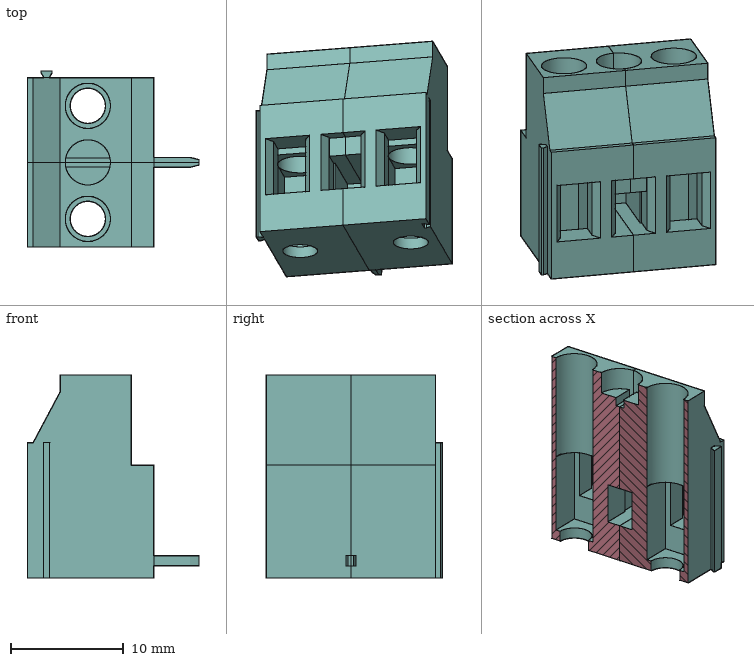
import cadquery as cq


POLE_PITCH = 5.0
OUTER_POLES_Y = (-POLE_PITCH, POLE_PITCH)
POLE_COUNT = 1 + len(OUTER_POLES_Y)

HOUSING_WIDTH = POLE_COUNT * POLE_PITCH
HOUSING_DEPTH = 11.2
HOUSING_HEIGHT = 18.0
ENTRY_FACE_HEIGHT = 12.0
LEDGE_DEPTH = 0.5
SLOPE_TOP_X = 2.9
SLOPE_TOP_Z = 16.5
TOP_BACK_X = 9.2
BACK_STEP_Z = 10.0

DOVETAIL_X = 1.7
DOVETAIL_NECK_WIDTH = 0.5
DOVETAIL_HEAD_WIDTH = 1.0
DOVETAIL_LENGTH = 0.6
DOVETAIL_HEAD_FLAT = 0.16

SHAFT_X = 5.35
SHAFT_DIAMETER = 4.0
BOTTOM_HOLE_DIAMETER = 3.1

MOUTH_WIDTH = 4.0
MOUTH_DEPTH = 0.86
CHANNEL_WIDTH = 2.9
CHANNEL_FLOOR_Z = 3.47
CHANNEL_TOP_Z = 8.8

CHAMBER_FRONT_X = 2.65
CHAMBER_BACK_X = 2 * SHAFT_X - CHAMBER_FRONT_X
CHAMBER_WIDTH = SHAFT_DIAMETER
CHAMBER_FLOOR_Z = 1.0
CHAMBER_TOP_Z = 8.23

GUARD_FRONT_X = 1.1
GUARD_BOTTOM_Z = 7.1
CLAMP_FRONT_X = 2.85
CLAMP_OPENING_WIDTH = 2.61

SCREW_RECESS = 2.0
SLOT_WIDTH = 0.8
SLOT_DEPTH = SLOT_WIDTH

PIN_WIDTH = 0.9
PIN_BOTTOM_Z = 1.1
PIN_LENGTH = 4.0
PIN_TIP_LENGTH = 0.8
PIN_TIP_WIDTH = 0.49


def box_between(x_range, y_range, z_range):
    size = [end - start for start, end in (x_range, y_range, z_range)]
    corner = (x_range[0], y_range[0], z_range[0])
    return cq.Workplane("XY").box(*size, centered=False).translate(corner)


def centred_box(x_range, width, z_range, y=0.0):
    """Box of the given Y width, centred on y."""
    return box_between(x_range, (y - width / 2, y + width / 2), z_range)


def shaft_cylinder(diameter, bottom_z, top_z, y=0.0):
    """Vertical cylinder on the screw axis of the pole at y."""
    base = cq.Workplane("XY", origin=(SHAFT_X, y, bottom_z))
    return base.circle(diameter / 2).extrude(top_z - bottom_z)


def housing_block():
    profile = [
        (0, 0),
        (0, ENTRY_FACE_HEIGHT),
        (LEDGE_DEPTH, ENTRY_FACE_HEIGHT),
        (SLOPE_TOP_X, SLOPE_TOP_Z),
        (SLOPE_TOP_X, HOUSING_HEIGHT),
        (TOP_BACK_X, HOUSING_HEIGHT),
        (TOP_BACK_X, BACK_STEP_Z),
        (HOUSING_DEPTH, BACK_STEP_Z),
        (HOUSING_DEPTH, 0),
    ]
    return cq.Workplane("XZ").polyline(profile).close().extrude(HOUSING_WIDTH / 2, both=True)


def dovetail_bar(neck_y):
    """Upright bar that widens toward +Y from its neck at neck_y."""
    neck = DOVETAIL_NECK_WIDTH / 2
    head = DOVETAIL_HEAD_WIDTH / 2
    flat_start = DOVETAIL_LENGTH - DOVETAIL_HEAD_FLAT
    outline = [
        (-neck, 0),
        (-head, flat_start),
        (-head, DOVETAIL_LENGTH),
        (head, DOVETAIL_LENGTH),
        (head, flat_start),
        (neck, 0),
    ]
    base = cq.Workplane("XY", origin=(DOVETAIL_X, neck_y, 0))
    return base.polyline(outline).close().extrude(ENTRY_FACE_HEIGHT)


def wire_channel(end_x, y=0.0):
    """Space of a wire channel from the entry face to end_x."""
    mouth = MOUTH_WIDTH / 2
    passage = CHANNEL_WIDTH / 2
    outline = [
        (0, -mouth),
        (MOUTH_DEPTH, -passage),
        (end_x, -passage),
        (end_x, passage),
        (MOUTH_DEPTH, passage),
        (0, mouth),
    ]
    base = cq.Workplane("XY", origin=(0, y, CHANNEL_FLOOR_Z))
    return base.polyline(outline).close().extrude(CHANNEL_TOP_Z - CHANNEL_FLOOR_Z)


def outer_pole_cavity(y):
    """Open space of an empty pole: channel, clamp chamber, shaft and bottom hole."""
    chamber_x = (CHAMBER_FRONT_X, CHAMBER_BACK_X)
    chamber = centred_box(chamber_x, CHAMBER_WIDTH, (CHAMBER_FLOOR_Z, CHAMBER_TOP_Z), y)
    shaft = shaft_cylinder(SHAFT_DIAMETER, CHAMBER_TOP_Z, HOUSING_HEIGHT, y)
    bottom_hole = shaft_cylinder(BOTTOM_HOLE_DIAMETER, 0, CHAMBER_FLOOR_Z, y)
    return wire_channel(CHAMBER_FRONT_X, y).union(chamber).union(shaft).union(bottom_hole)


def middle_wire_cavity():
    """Wire space of the middle pole: channel less the guard, then the clamp opening."""
    guard = centred_box((GUARD_FRONT_X, CLAMP_FRONT_X), CHANNEL_WIDTH, (GUARD_BOTTOM_Z, CHANNEL_TOP_Z))
    opening_x = (CLAMP_FRONT_X, CHAMBER_BACK_X)
    opening = centred_box(opening_x, CLAMP_OPENING_WIDTH, (CHANNEL_FLOOR_Z, GUARD_BOTTOM_Z))
    return wire_channel(CLAMP_FRONT_X).cut(guard).union(opening)


def middle_screw_recess():
    """Shaft above the screw head, with the driver slot across the head."""
    head_z = HOUSING_HEIGHT - SCREW_RECESS
    slot_bottom_z = head_z - SLOT_DEPTH
    recess = shaft_cylinder(SHAFT_DIAMETER, slot_bottom_z, HOUSING_HEIGHT)
    head_x = (SHAFT_X - SHAFT_DIAMETER / 2, SHAFT_X + SHAFT_DIAMETER / 2)
    for head_y in ((-SHAFT_DIAMETER / 2, -SLOT_WIDTH / 2), (SLOT_WIDTH / 2, SHAFT_DIAMETER / 2)):
        recess = recess.cut(box_between(head_x, head_y, (slot_bottom_z, head_z)))
    return recess


def solder_pin():
    """Pin standing out of the back, tapered on its two sides at the tip."""
    half = PIN_WIDTH / 2
    tip_half = PIN_TIP_WIDTH / 2
    taper_start = PIN_LENGTH - PIN_TIP_LENGTH
    outline = [
        (0, -half),
        (taper_start, -half),
        (PIN_LENGTH, -tip_half),
        (PIN_LENGTH, tip_half),
        (taper_start, half),
        (0, half),
    ]
    base = cq.Workplane("XY", origin=(HOUSING_DEPTH, 0, PIN_BOTTOM_Z))
    return base.polyline(outline).close().extrude(PIN_WIDTH)


def terminal_block():
    """Full block, before it is divided into its two halves."""
    body = housing_block().cut(middle_wire_cavity()).cut(middle_screw_recess())
    for y in OUTER_POLES_Y:
        body = body.cut(outer_pole_cavity(y))
    return body.union(solder_pin())


def half_block(y_range):
    """Part of the full block between two Y values."""
    whole_x = (0, HOUSING_DEPTH + PIN_LENGTH)
    return terminal_block().intersect(box_between(whole_x, y_range, (0, HOUSING_HEIGHT)))


def make_groove_half():
    side_y = -HOUSING_WIDTH / 2
    return half_block((side_y, 0)).cut(dovetail_bar(side_y))


def make_dovetail_half():
    side_y = HOUSING_WIDTH / 2
    return half_block((0, side_y)).union(dovetail_bar(side_y))


groove_half = make_groove_half()
dovetail_half = make_dovetail_half()

result = cq.Compound.makeCompound([*groove_half.solids().vals(), *dovetail_half.solids().vals()])